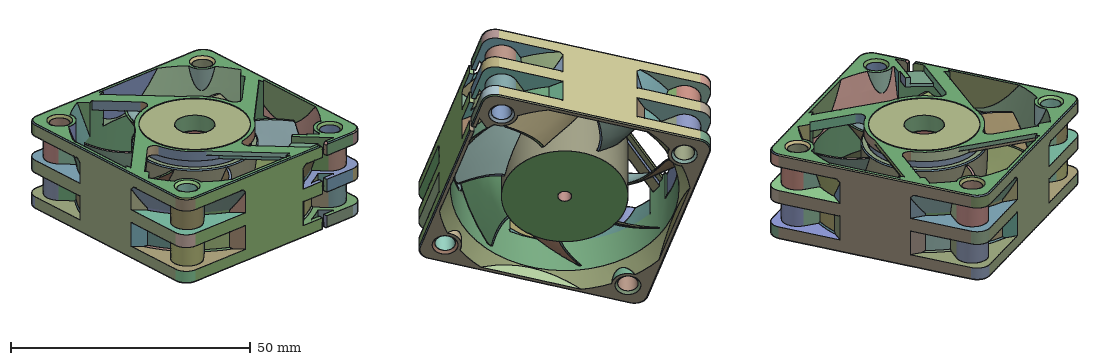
import cadquery as cq
import math


FRAME_SIDE = 50.0
FRAME_HEIGHT = 20.0
CORNER_COUNT = 4
FRAME_CORNER_RADIUS = 2.95
FRAME_EDGE_CHAMFER = 0.25
FRAME_HALF = FRAME_SIDE / 2
SIDE_WALL = 1.0
INNER_SIDE = FRAME_SIDE - 2 * SIDE_WALL
SLOT_HEIGHT = 5.6
FLANGE = 2.9
SLOT_FLOORS = (FLANGE, FRAME_HEIGHT - FLANGE - SLOT_HEIGHT)
SLOT_START = 8.05

HOLE_OFFSET = 20.0
HOLE_RADIUS = 2.15
HOLE_CHAMFER = 0.55
POST_RADIUS = 3.45

DUCT_RADIUS = 23.9
DUCT_WALL = 1.0
FLARE_RADIUS = 26.4
LOWER_FLARE_TOP = 3.25
UPPER_FLARE_BOTTOM = 12.0

HUB_RADIUS = 12.65
HUB_THICKNESS = 2.2
HUB_BOTTOM = FRAME_HEIGHT - HUB_THICKNESS
STRUT_INNER = 9.25
STRUT_OUTER = 12.25
STRUT_LIP_WIDTH = 0.95
STRUT_LIP_THICKNESS = 1.0
STRUT_LENGTH = 22.25
STRUT_FILLET = 1.5
STRUT_COUNT = 4
EDGE_SEARCH = 0.5
STRUT_ROOT_INNER = 8.3
STRUT_ROOT_OUTER = 13.25

CABLE_ROOT_INNER = 3.2
CABLE_WALL_INNER = 3.6
CABLE_WALL_OUTER = 4.65
CABLE_END_RADIUS = 21.0
CABLE_FLOOR = 18.5
CABLE_HOLE_RADIUS = 26.5
CABLE_NOTCH_WIDTH = 1.25
CABLE_NOTCH_Y = 14.05
CABLE_NOTCH_CHAMFER = 0.5

CORE_RADIUS = 11.65
CORE_RECESS = 0.15
CORE_TOP = FRAME_HEIGHT - CORE_RECESS
CORE_BODY_RADIUS = 11.4
CORE_BOTTOM = 2.5
CORE_BORE_STEPS = ((4.2, 16.2), (4.0, 13.0), (3.4, CORE_BOTTOM))

ROTOR_RADIUS = 13.25
ROTOR_BORE_RADIUS = 11.9
ROTOR_BOTTOM = 1.0
ROTOR_TOP = 16.0
ROTOR_FLOOR = 1.0
ROTOR_RIM_CHAMFER = 0.25
BOSS_RADIUS = 3.0
BOSS_FILLET = 1.05
BOSS_TOP = 13.0
SHAFT_HOLE_RADIUS = 1.45

BLADE_COUNT = 7
BLADE_ANGLE = -38.0
BLADE_BOTTOM = 3.0
BLADE_TOP = 15.45
BLADE_WIDTH = 0.55
BLADE_CAMBER = 1.0
BLADE_TIP_RADIUS = 23.1
BLADE_TIP_ROUNDING = 1.1
BLADE_SECTIONS = (
    (11.0, -2.6, 6.15),
    (15.0, -4.2, 6.7),
    (19.0, -8.55, 5.95),
    (23.5, -16.65, 3.6),
)


def cylinder(radius, bottom, top):
    return cq.Workplane("XY").workplane(offset=bottom).circle(radius).extrude(top - bottom)


def revolved(points):
    """Solid of revolution about Z from (radius, height) points."""
    return cq.Workplane("XZ").polyline(points).close().revolve(360, (0, 0), (0, 1))


def strut_band(inner, outer, bottom, top, length=FRAME_SIDE):
    """Straight band at 45 degrees, between two distances from the fan axis."""
    return (
        cq.Workplane("XY")
        .workplane(offset=bottom)
        .moveTo(length / 2, -(inner + outer) / 2)
        .rect(length, outer - inner)
        .extrude(top - bottom)
        .rotate((0, 0, 0), (0, 0, 1), 45)
    )


def quarter_turn(shape, index):
    return shape.rotate((0, 0, 0), (0, 0, 1), 90 * index)


def duct_solid(added_radius):
    """Duct volume with both flared ends, grown by the given radius."""
    straight = DUCT_RADIUS + added_radius
    flared = FLARE_RADIUS + added_radius
    return revolved([
        (0, 0),
        (flared, 0),
        (straight, LOWER_FLARE_TOP),
        (straight, UPPER_FLARE_BOTTOM),
        (flared, FRAME_HEIGHT),
        (0, FRAME_HEIGHT),
    ])


def screw_points():
    return cq.Workplane("XY").rect(2 * HOLE_OFFSET, 2 * HOLE_OFFSET, forConstruction=True).vertices()


def frame_block():
    block = (
        cq.Workplane("XY")
        .rect(FRAME_SIDE, FRAME_SIDE)
        .extrude(FRAME_HEIGHT)
        .edges("|Z")
        .fillet(FRAME_CORNER_RADIUS)
    )
    return block.faces("<Z or >Z").edges().chamfer(FRAME_EDGE_CHAMFER)


def air_passage():
    """Duct opening: flares stop at the side walls, the screw posts and the strut roots."""
    opening = duct_solid(0).intersect(
        cq.Workplane("XY").rect(INNER_SIDE, INNER_SIDE).extrude(FRAME_HEIGHT)
    )
    opening = opening.cut(screw_points().circle(POST_RADIUS).extrude(FRAME_HEIGHT))
    for index in range(STRUT_COUNT):
        inner = CABLE_ROOT_INNER if index == 0 else STRUT_ROOT_INNER
        root = strut_band(inner, STRUT_ROOT_OUTER, LOWER_FLARE_TOP, FRAME_HEIGHT)
        opening = opening.cut(quarter_turn(root, index))
    return opening.union(cylinder(DUCT_RADIUS, 0, FRAME_HEIGHT))


def corner_slots():
    """Triangular corner pockets that leave the duct wall and the ribbed screw posts standing."""
    rib_length = HOLE_OFFSET * math.sqrt(2)
    posts = screw_points().circle(POST_RADIUS).extrude(FRAME_HEIGHT)
    kept = duct_solid(DUCT_WALL).union(posts)
    for angle in (45, 135):
        rib = cq.Workplane("XY").rect(2 * rib_length, 2 * POST_RADIUS).extrude(FRAME_HEIGHT)
        kept = kept.union(rib.rotate((0, 0, 0), (0, 0, 1), angle))
    slots = cq.Workplane("XY")
    corner = [(SLOT_START, FRAME_HALF), (FRAME_HALF, SLOT_START), (FRAME_HALF, FRAME_HALF)]
    for floor in SLOT_FLOORS:
        pocket = cq.Workplane("XY").workplane(offset=floor).polyline(corner).close().extrude(SLOT_HEIGHT)
        for index in range(CORNER_COUNT):
            slots = slots.add(quarter_turn(pocket, index))
    return slots.combine().cut(kept)


def screw_hole():
    mouth = HOLE_RADIUS + HOLE_CHAMFER
    return revolved([
        (0, 0),
        (mouth, 0),
        (HOLE_RADIUS, HOLE_CHAMFER),
        (HOLE_RADIUS, FRAME_HEIGHT - HOLE_CHAMFER),
        (mouth, FRAME_HEIGHT),
        (0, FRAME_HEIGHT),
    ])


def hub_spider():
    """Hub disc with four offset struts, each thinned to a lip on one side and filleted into the hub."""
    spider = cylinder(HUB_RADIUS, HUB_BOTTOM, FRAME_HEIGHT)
    strut = strut_band(STRUT_INNER, STRUT_OUTER - STRUT_LIP_WIDTH, HUB_BOTTOM, FRAME_HEIGHT, STRUT_LENGTH)
    lip_bottom = FRAME_HEIGHT - STRUT_LIP_THICKNESS
    strut = strut.union(strut_band(STRUT_INNER, STRUT_OUTER, lip_bottom, FRAME_HEIGHT, STRUT_LENGTH))
    for index in range(STRUT_COUNT):
        spider = spider.union(quarter_turn(strut, index))
    meeting_angle = 45 - math.degrees(math.asin(STRUT_INNER / HUB_RADIUS))
    for index in range(STRUT_COUNT):
        angle = math.radians(meeting_angle + 90 * index)
        x = HUB_RADIUS * math.cos(angle)
        y = HUB_RADIUS * math.sin(angle)
        corner = cq.selectors.BoxSelector(
            (x - EDGE_SEARCH, y - EDGE_SEARCH, 0), (x + EDGE_SEARCH, y + EDGE_SEARCH, FRAME_HEIGHT)
        )
        spider = spider.edges("|Z").edges(corner).fillet(STRUT_FILLET)
    return spider


def cable_shelf():
    """Shelf with a side wall, between the first strut and the frame."""
    shelf = strut_band(CABLE_WALL_INNER, STRUT_INNER, HUB_BOTTOM, FRAME_HEIGHT)
    shelf = shelf.cut(cylinder(CABLE_END_RADIUS, 0, FRAME_HEIGHT))
    return shelf.intersect(cylinder(DUCT_RADIUS + DUCT_WALL / 2, 0, FRAME_HEIGHT))


def cable_cut():
    """Channel over the shelf, the hole outside the duct and the notch through the side wall."""
    inside = cq.Workplane("XY").rect(INNER_SIDE, INNER_SIDE).extrude(FRAME_HEIGHT)
    channel = strut_band(CABLE_WALL_OUTER, STRUT_INNER, CABLE_FLOOR, FRAME_HEIGHT)
    channel = channel.cut(cylinder(CABLE_END_RADIUS, 0, FRAME_HEIGHT))
    hole = strut_band(CABLE_WALL_OUTER, STRUT_INNER, 0, FRAME_HEIGHT)
    hole = hole.cut(cylinder(CABLE_HOLE_RADIUS, 0, FRAME_HEIGHT))
    half_notch = CABLE_NOTCH_WIDTH / 2
    half_mouth = half_notch + CABLE_NOTCH_CHAMFER
    notch = (
        cq.Workplane("YZ")
        .workplane(offset=FRAME_HALF - SIDE_WALL)
        .polyline([
            (CABLE_NOTCH_Y - half_notch, 0),
            (CABLE_NOTCH_Y + half_notch, 0),
            (CABLE_NOTCH_Y + half_notch, FRAME_HEIGHT - CABLE_NOTCH_CHAMFER),
            (CABLE_NOTCH_Y + half_mouth, FRAME_HEIGHT),
            (CABLE_NOTCH_Y - half_mouth, FRAME_HEIGHT),
            (CABLE_NOTCH_Y - half_notch, FRAME_HEIGHT - CABLE_NOTCH_CHAMFER),
        ])
        .close()
        .extrude(SIDE_WALL)
    )
    return channel.union(hole).intersect(inside).union(notch)


def make_housing():
    housing = frame_block().cut(air_passage()).cut(corner_slots())
    housing = housing.union(hub_spider()).union(cable_shelf()).cut(cable_cut())
    for point in screw_points().vals():
        housing = housing.cut(screw_hole().translate(point.Center()))
    return housing.cut(cylinder(CORE_RADIUS, 0, FRAME_HEIGHT))


def make_motor_core():
    core = cylinder(CORE_RADIUS, HUB_BOTTOM, CORE_TOP)
    core = core.union(cylinder(CORE_BODY_RADIUS, CORE_BOTTOM, HUB_BOTTOM))
    for radius, floor in CORE_BORE_STEPS:
        core = core.cut(cylinder(radius, floor, CORE_TOP))
    return core


def blade_section(distance, leading, trailing):
    """Cambered wire in the plane at the given distance from the axis."""
    middle = (leading + trailing) / 2
    middle_z = (BLADE_BOTTOM + BLADE_TOP) / 2 - BLADE_CAMBER
    section = (
        cq.Workplane("YZ", origin=(distance, 0, 0))
        .moveTo(leading, BLADE_BOTTOM)
        .threePointArc((middle, middle_z), (trailing - BLADE_WIDTH, BLADE_TOP))
        .lineTo(trailing, BLADE_TOP)
        .threePointArc((middle + BLADE_WIDTH, middle_z), (leading + BLADE_WIDTH, BLADE_BOTTOM))
        .close()
    )
    return section.val()


def make_blade():
    sections = [blade_section(*section) for section in BLADE_SECTIONS]
    blade = cq.Workplane(cq.Solid.makeLoft(sections))
    swept_volume = cylinder(BLADE_TIP_RADIUS, BLADE_BOTTOM, BLADE_TOP)
    swept_volume = swept_volume.faces("<Z").edges().fillet(BLADE_TIP_ROUNDING)
    root_radius = (ROTOR_RADIUS + ROTOR_BORE_RADIUS) / 2
    swept_volume = swept_volume.cut(cylinder(root_radius, 0, FRAME_HEIGHT))
    return blade.intersect(swept_volume).rotate((0, 0, 0), (0, 0, 1), BLADE_ANGLE)


def make_rotor():
    cup = cylinder(ROTOR_RADIUS, ROTOR_BOTTOM, ROTOR_TOP).faces(">Z").edges().chamfer(ROTOR_RIM_CHAMFER)
    cup = cup.cut(cylinder(ROTOR_BORE_RADIUS, ROTOR_BOTTOM + ROTOR_FLOOR, ROTOR_TOP))
    boss = cylinder(BOSS_RADIUS, ROTOR_BOTTOM, BOSS_TOP).faces(">Z").edges().fillet(BOSS_FILLET)
    rotor = cup.union(boss)
    blade = make_blade()
    for index in range(BLADE_COUNT):
        rotor = rotor.union(blade.rotate((0, 0, 0), (0, 0, 1), index * 360 / BLADE_COUNT))
    return rotor.cut(cylinder(SHAFT_HOLE_RADIUS, 0, FRAME_HEIGHT))


housing = make_housing()
motor_core = make_motor_core()
rotor = make_rotor()

result = cq.Compound.makeCompound([housing.val(), motor_core.val(), rotor.val()])